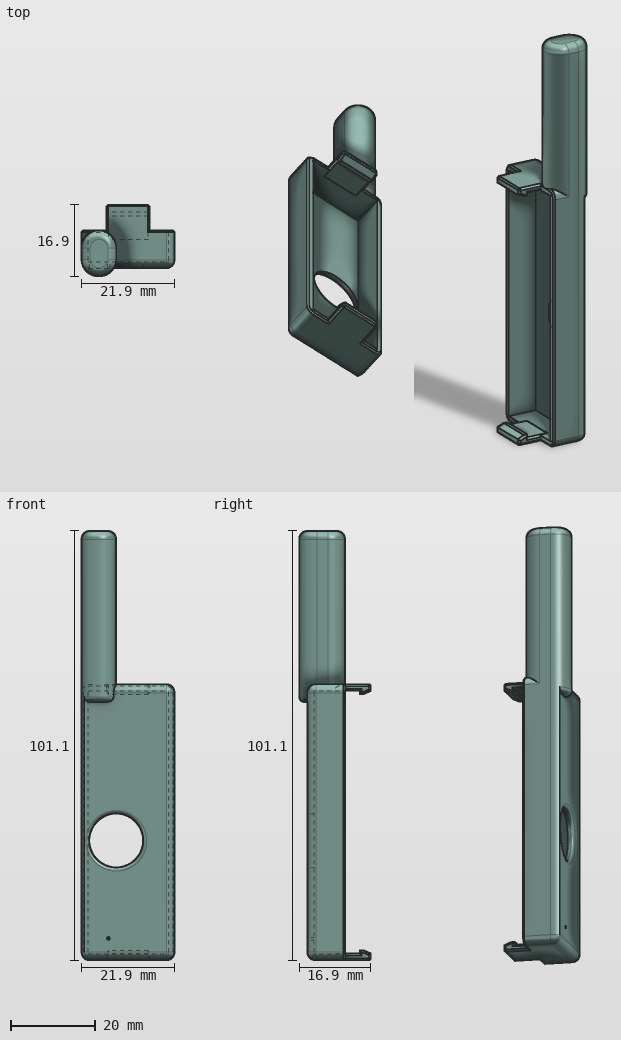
import cadquery as cq
import math

body_width = 21.9
body_height = 65.0
body_front = 1.9
body_back = 10.8
wall = 1.5
edge_round = 2.0
rim_bevel = 0.4

handle_width = 8.2
handle_radius = handle_width / 2
handle_depth = body_back
handle_bottom = 60.8
handle_top = 101.1
handle_top_round = 2.0
handle_bottom_round = 1.3

opening_x = 8.2
opening_z = 28.2
opening_diameter = 12.6
opening_round = 0.8

pinhole_x = 6.4
pinhole_z = 5.2
pinhole_diameter = 0.6

clip_width = 10.2
clip_thickness = 1.6
clip_tip = 16.9
clip_root = 2.0
clip_bevel = 0.5
tip_bevel = 0.4
hook_length = 2.6
hook_flat = 0.9
hook_height = 2.3


def make_body():
    """Solid body whose left front edge follows the round of the handle."""
    front_offset = handle_radius - body_front
    arc_end_x = handle_radius - math.sqrt(handle_radius**2 - front_offset**2)
    half_angle = math.asin(front_offset / handle_radius) / 2
    arc_middle = (
        handle_radius * (1 - math.cos(half_angle)),
        handle_radius * (1 - math.sin(half_angle)),
    )
    body = (
        cq.Workplane("XY")
        .moveTo(0, body_back)
        .lineTo(0, handle_radius)
        .threePointArc(arc_middle, (arc_end_x, body_front))
        .lineTo(body_width, body_front)
        .lineTo(body_width, body_back)
        .close()
        .extrude(body_height)
    )
    round_edges = (
        cq.selectors.StringSyntaxSelector("(|Z and >X) or (#Z)")
        - cq.selectors.StringSyntaxSelector(">Y")
    )
    body = body.edges(round_edges).fillet(edge_round)
    return body.faces(">Y").chamfer(rim_bevel)


def make_handle():
    """Upright bar with rounded ends."""
    return (
        cq.Workplane("XY", origin=(handle_radius, handle_depth / 2, handle_bottom))
        .slot2D(handle_depth, handle_width, 90)
        .extrude(handle_top - handle_bottom)
        .faces(">Z")
        .edges()
        .fillet(handle_top_round)
        .faces("<Z")
        .edges()
        .fillet(handle_bottom_round)
    )


def make_cavity():
    """Inner space of the case, open at the back."""
    return cq.Workplane("XY").box(
        body_width - 2 * wall,
        body_back - body_front - wall,
        body_height - 2 * wall,
        centered=False,
    ).translate((wall, body_front + wall, wall))


def make_bottom_clip():
    """Bevelled tongue with a barbed hook that points up into the case."""
    root = body_back - clip_root
    clip_left = (body_width - clip_width) / 2
    hook_start = clip_tip - hook_length
    clip = (
        cq.Workplane("YZ", origin=(clip_left, 0, 0))
        .moveTo(root, 0)
        .lineTo(root, clip_thickness)
        .lineTo(hook_start, clip_thickness)
        .lineTo(hook_start, hook_height)
        .lineTo(hook_start + hook_flat, hook_height)
        .lineTo(clip_tip, clip_thickness)
        .lineTo(clip_tip, 0)
        .close()
        .extrude(clip_width)
    )
    clip = clip.faces("<Z").edges(">Y").chamfer(tip_bevel)
    return clip.faces("<X or >X").chamfer(clip_bevel)


def make_pinhole():
    """Cutter for the pinhole; it passes through the front wall only."""
    return (
        cq.Workplane("XZ", origin=(pinhole_x, 0, pinhole_z))
        .circle(pinhole_diameter / 2)
        .extrude(-(body_front + wall))
    )


def make_opening():
    """Cutter for the round opening, flared by a round at the front face."""
    hole_radius = opening_diameter / 2
    mouth_radius = hole_radius + opening_round
    arc_inset = opening_round * (1 - math.sqrt(0.5))
    return (
        cq.Workplane("XY")
        .moveTo(0, body_front)
        .lineTo(mouth_radius, body_front)
        .threePointArc(
            (hole_radius + arc_inset, body_front + arc_inset),
            (hole_radius, body_front + opening_round),
        )
        .lineTo(hole_radius, body_front + wall)
        .lineTo(0, body_front + wall)
        .close()
        .revolve(360, (0, 0, 0), (0, 1, 0))
        .translate((opening_x, 0, opening_z))
    )


bottom_clip = make_bottom_clip()
top_clip = bottom_clip.mirror("XY").translate((0, 0, body_height))

result = (
    make_body()
    .union(make_handle())
    .cut(make_cavity())
    .cut(make_opening())
    .cut(make_pinhole())
    .union(bottom_clip)
    .union(top_clip)
)